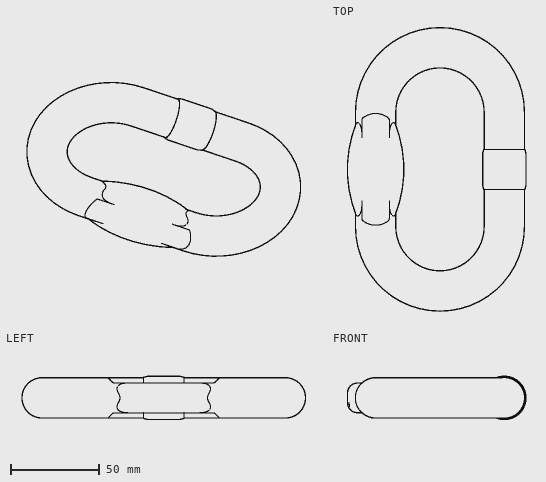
import cadquery as cq
import math

wire_diameter = 23.0
wire_radius = wire_diameter / 2
bend_radius = 36.5
straight_length = 65.0
half_straight = straight_length / 2

collar_diameter = 24.73
collar_length = 22.8
collar_chamfer_length = 2.4
collar_chamfer_height = 0.6

plate_thickness = 17.0
plate_half_width = 16.1
plate_half_length = 28.7
plate_end_half_width = 9.9
plate_edge_radius = 5.75

flat_height = plate_thickness / 2
flat_half_length = plate_half_length
ramp_angle = math.radians(45)
ramp_root_radius = 1.5
cutter_rise = 5.0
cutter_side_clearance = 1.0
cutter_half_width = wire_radius + cutter_side_clearance


def leg(x):
    """Straight round bar along Y at the given X."""
    start = cq.Workplane("XZ", origin=(x, half_straight, 0))
    return start.circle(wire_radius).extrude(straight_length)


def bend(side):
    """Half-torus end bend; side is +1 for the +Y end and -1 for the -Y end."""
    section = cq.Workplane("XZ", origin=(bend_radius, side * half_straight, 0)).circle(wire_radius)
    return section.revolve(180, (-bend_radius, 0, 0), (-bend_radius, side, 0))


def collar():
    """Weld collar with a shallow chamfer at each end."""
    radius = collar_diameter / 2
    end_radius = radius - collar_chamfer_height
    half_length = collar_length / 2
    half_land = half_length - collar_chamfer_length
    profile = (
        cq.Workplane("XY", origin=(bend_radius, 0, 0))
        .moveTo(0, -half_length)
        .lineTo(end_radius, -half_length)
        .lineTo(radius, -half_land)
        .lineTo(radius, half_land)
        .lineTo(end_radius, half_length)
        .lineTo(0, half_length)
        .close()
    )
    return profile.revolve(360, (0, 0, 0), (0, 1, 0))


def grip_plate():
    """Plate with two bowed sides and rounded long edges; its ends lie inside the wire."""
    outline = (
        cq.Workplane("XY", origin=(-bend_radius, 0, -plate_thickness / 2))
        .moveTo(plate_end_half_width, -plate_half_length)
        .threePointArc((plate_half_width, 0), (plate_end_half_width, plate_half_length))
        .lineTo(-plate_end_half_width, plate_half_length)
        .threePointArc((-plate_half_width, 0), (-plate_end_half_width, -plate_half_length))
        .close()
    )
    return outline.extrude(plate_thickness).edges("%CIRCLE").fillet(plate_edge_radius)


def flat_cutter():
    """Trapezoidal cutter for the upper flat, with rounded ramp roots."""
    top_half_length = flat_half_length + cutter_rise / math.tan(ramp_angle)
    top = flat_height + cutter_rise
    cutter = (
        cq.Workplane("YZ", origin=(-bend_radius, 0, 0))
        .moveTo(-flat_half_length, flat_height)
        .lineTo(flat_half_length, flat_height)
        .lineTo(top_half_length, top)
        .lineTo(-top_half_length, top)
        .close()
        .extrude(cutter_half_width, both=True)
    )
    return cutter.edges("|X and <Z").fillet(ramp_root_radius)


upper_cutter = flat_cutter()
milled_leg = leg(-bend_radius).cut(upper_cutter).cut(upper_cutter.mirror("XY"))
collared_leg = leg(bend_radius).union(collar())

result = milled_leg.union(grip_plate()).union(collared_leg)
for end in (1, -1):
    result = result.union(bend(end))